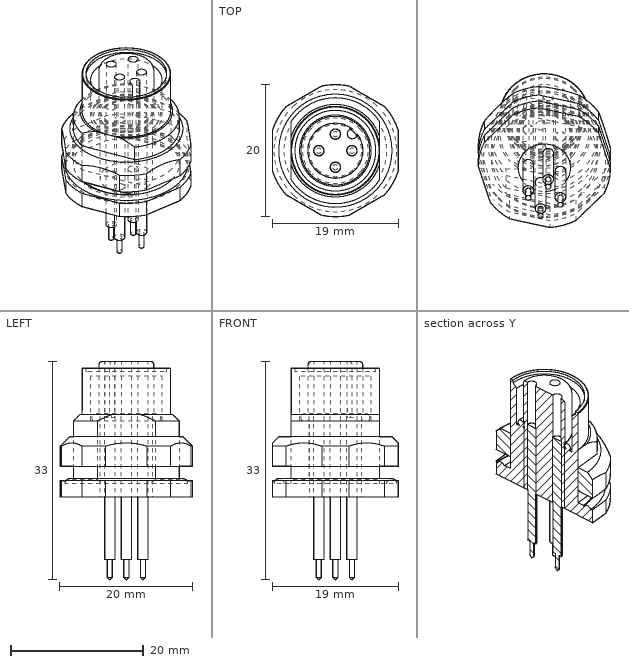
import cadquery as cq
import math


HEX_ACROSS_FLATS = 19.0
HEX_CORNER_RADIUS = 10.0
HEX_SIDES = 6

FLANGE_HEIGHT = 2.5
THREAD_RADIUS = 8.0
THREAD_TOP = 12.5
THREAD_CHAMFER = 1.0
SLEEVE_RADIUS = 6.7
SLEEVE_TOP = 19.5
SLEEVE_EDGE_CHAMFER = 0.1
MOUTH_RADIUS = 6.1
MOUTH_DEPTH = 0.5
BORE_RADIUS = 5.4
BORE_TOP = SLEEVE_TOP - MOUTH_DEPTH - (MOUTH_RADIUS - BORE_RADIUS)
BORE_FLOOR = 11.5

FLANGE_SEAL_MINOR_RADIUS = 0.75
FLANGE_SEAL_MAJOR_RADIUS = 8.5
FLANGE_SEAL_TOP = 2.82
FLANGE_SEAL_CENTRE = FLANGE_SEAL_TOP - FLANGE_SEAL_MINOR_RADIUS
BORE_SEAL_MINOR_RADIUS = 0.625
BORE_SEAL_OUTER_RADIUS = 5.2
BORE_SEAL_MAJOR_RADIUS = BORE_SEAL_OUTER_RADIUS - BORE_SEAL_MINOR_RADIUS
BORE_SEAL_SINK = 0.125
BORE_SEAL_CENTRE = BORE_FLOOR + BORE_SEAL_MINOR_RADIUS - BORE_SEAL_SINK
BORE_SEAL_TOP = BORE_SEAL_CENTRE + BORE_SEAL_MINOR_RADIUS

NUT_BOTTOM = 4.65
NUT_HEIGHT = 4.5
NUT_TOP = NUT_BOTTOM + NUT_HEIGHT
NUT_TOP_RADIUS = 8.55
NUT_CHAMFER = HEX_CORNER_RADIUS - NUT_TOP_RADIUS

INSERT_RADIUS = 4.15
INSERT_PROTRUSION = 1.0
INSERT_TOP = SLEEVE_TOP + INSERT_PROTRUSION
INSERT_EDGE_RADIUS = 0.5
INSERT_NECK_RADIUS = BORE_SEAL_MAJOR_RADIUS - BORE_SEAL_MINOR_RADIUS
KEYWAY_RADIUS = 0.75
KEYWAY_CENTRE = 3.6
KEYWAY_ANGLE = 45.0
SOCKET_RADIUS = 0.75
SOCKET_DEPTH = 8.0

PIN_COUNT = 4
PIN_CIRCLE_RADIUS = 2.5
PIN_RADIUS = 0.8
PIN_TOP = INSERT_TOP - SOCKET_DEPTH
PIN_SHOULDER = -9.45
PIN_TAIL_RADIUS = 0.4
PIN_TIP = -12.5
PIN_ANGLES = [index * 360.0 / PIN_COUNT for index in range(PIN_COUNT)]


def cylinder(radius, bottom, top):
    return cq.Workplane("XY").workplane(offset=bottom).circle(radius).extrude(top - bottom)


def ring(major_radius, minor_radius, centre_height):
    """Round-section ring about Z."""
    return cq.Workplane("XZ").center(major_radius, centre_height).circle(minor_radius).revolve(
        360, (-major_radius, 0), (-major_radius, 1)
    )


def rounded_hex(bottom, height):
    """Hexagonal prism with two flats square to X and its corners on a cylinder."""
    hex_diameter = HEX_ACROSS_FLATS / math.cos(math.pi / HEX_SIDES)
    prism = (
        cq.Workplane("XY")
        .workplane(offset=bottom)
        .transformed(rotate=(0, 0, 180 / HEX_SIDES))
        .polygon(HEX_SIDES, hex_diameter)
        .extrude(height)
    )
    return prism.intersect(cylinder(HEX_CORNER_RADIUS, bottom, bottom + height))


def at_pin(shape, angle):
    return shape.translate((PIN_CIRCLE_RADIUS, 0, 0)).rotate((0, 0, 0), (0, 0, 1), angle)


def threaded_stem():
    """Stem with a chamfered top and two flats level with the sleeve."""
    stem = cylinder(THREAD_RADIUS, 0, THREAD_TOP).faces(">Z").chamfer(THREAD_CHAMFER)
    between_flats = cq.Workplane("XY").box(
        2 * SLEEVE_RADIUS, 2 * THREAD_RADIUS, THREAD_TOP, centered=(True, True, False)
    )
    return stem.intersect(between_flats)


def bore():
    """Cylindrical mouth, 45 degree cone and straight bore, as one turned cutter."""
    return (
        cq.Workplane("XZ")
        .moveTo(0, BORE_FLOOR)
        .lineTo(BORE_RADIUS, BORE_FLOOR)
        .lineTo(BORE_RADIUS, BORE_TOP)
        .lineTo(MOUTH_RADIUS, SLEEVE_TOP - MOUTH_DEPTH)
        .lineTo(MOUTH_RADIUS, SLEEVE_TOP)
        .lineTo(0, SLEEVE_TOP)
        .close()
        .revolve(360, (0, 0), (0, 1))
    )


def make_flange():
    """Rounded hexagon with a groove that opens the upper half of the flange seal."""
    outer = cylinder(FLANGE_SEAL_MAJOR_RADIUS + FLANGE_SEAL_MINOR_RADIUS, FLANGE_SEAL_CENTRE, FLANGE_HEIGHT)
    inner = cylinder(FLANGE_SEAL_MAJOR_RADIUS - FLANGE_SEAL_MINOR_RADIUS, FLANGE_SEAL_CENTRE, FLANGE_HEIGHT)
    return rounded_hex(0, FLANGE_HEIGHT).cut(outer.cut(inner))


def make_housing():
    sleeve = cylinder(SLEEVE_RADIUS, 0, SLEEVE_TOP).faces(">Z").chamfer(SLEEVE_EDGE_CHAMFER)
    flange_seal = ring(FLANGE_SEAL_MAJOR_RADIUS, FLANGE_SEAL_MINOR_RADIUS, FLANGE_SEAL_CENTRE)
    bore_seal = ring(BORE_SEAL_MAJOR_RADIUS, BORE_SEAL_MINOR_RADIUS, BORE_SEAL_CENTRE)
    body = make_flange().union(threaded_stem()).union(sleeve).union(flange_seal)
    body = body.cut(bore()).union(bore_seal)
    return body.cut(cylinder(INSERT_NECK_RADIUS, 0, BORE_FLOOR))


def make_nut():
    """Nut with a conical top edge; its hole follows the flats of the stem."""
    cone = cylinder(HEX_CORNER_RADIUS, NUT_BOTTOM, NUT_TOP).faces(">Z").chamfer(NUT_CHAMFER)
    return rounded_hex(NUT_BOTTOM, NUT_HEIGHT).intersect(cone).cut(threaded_stem())


def make_insert():
    """Contact carrier with a keyway, four sockets and the pin holes below them."""
    head = cylinder(INSERT_RADIUS, BORE_SEAL_TOP, INSERT_TOP).faces(">Z").edges().fillet(INSERT_EDGE_RADIUS)
    insert = head.union(cylinder(INSERT_NECK_RADIUS, 0, BORE_SEAL_TOP))
    keyway = cylinder(KEYWAY_RADIUS, BORE_SEAL_CENTRE, INSERT_TOP).translate((KEYWAY_CENTRE, 0, 0))
    insert = insert.cut(keyway.rotate((0, 0, 0), (0, 0, 1), KEYWAY_ANGLE))
    socket = cylinder(SOCKET_RADIUS, PIN_TOP, INSERT_TOP)
    pin_hole = cylinder(PIN_RADIUS, 0, PIN_TOP)
    for angle in PIN_ANGLES:
        insert = insert.cut(at_pin(socket.union(pin_hole), angle))
    return insert


def make_pin():
    """Stepped pin with a conical tip, on the Z axis."""
    return (
        cq.Workplane("XZ")
        .moveTo(0, PIN_TIP)
        .lineTo(PIN_TAIL_RADIUS, PIN_TIP + PIN_TAIL_RADIUS)
        .lineTo(PIN_TAIL_RADIUS, PIN_SHOULDER)
        .lineTo(PIN_RADIUS, PIN_SHOULDER)
        .lineTo(PIN_RADIUS, PIN_TOP)
        .lineTo(0, PIN_TOP)
        .close()
        .revolve(360, (0, 0), (0, 1))
    )


housing = make_housing()
nut = make_nut()
insert = make_insert()
pins = [at_pin(make_pin(), angle).val() for angle in PIN_ANGLES]

result = cq.Compound.makeCompound([housing.val(), nut.val(), insert.val(), *pins])